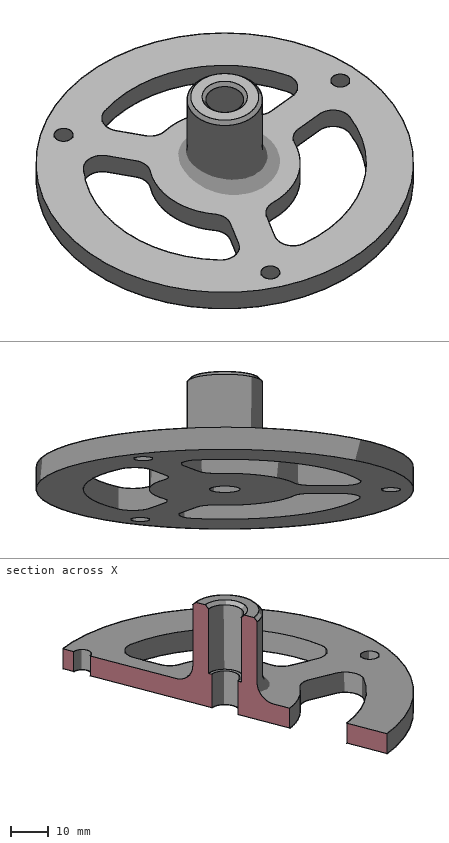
import cadquery as cq

disc_diameter = 100.0
disc_thickness = 6.0

total_height = 30.0
post_diameter = 20.0
post_chamfer = 1.0
root_fillet = 5.0

bore_diameter = 8.0
counterbore_diameter = 10.0
counterbore_depth = 20.0
bore_chamfer = 1.0

spoke_count = 3
spoke_angle = 360.0 / spoke_count
first_spoke_angle = 90.0
spoke_width = 10.0
window_inner_radius = 20.0
window_outer_radius = 37.5
window_corner_radius = 5.0

rim_hole_diameter = 5.0
rim_hole_circle_radius = 44.0


def make_windows():
    """Ring cut by the spokes, with every window corner rounded."""
    ring = (
        cq.Workplane("XY")
        .circle(window_outer_radius)
        .circle(window_inner_radius)
        .extrude(disc_thickness)
    )
    for index in range(spoke_count):
        spoke = (
            cq.Workplane("XY")
            .rect(disc_diameter / 2, spoke_width)
            .extrude(disc_thickness)
            .translate((disc_diameter / 4, 0, 0))
            .rotate((0, 0, 0), (0, 0, 1), first_spoke_angle + index * spoke_angle)
        )
        ring = ring.cut(spoke)
    return ring.edges("|Z").fillet(window_corner_radius)


def make_rim_holes():
    return (
        cq.Workplane("XY")
        .polarArray(rim_hole_circle_radius, first_spoke_angle, 360, spoke_count)
        .circle(rim_hole_diameter / 2)
        .extrude(disc_thickness)
    )


def make_post():
    """Post with a concave flare at its root and a chamfered top rim."""
    radius = post_diameter / 2
    return (
        cq.Workplane("XZ")
        .lineTo(radius + root_fillet, 0)
        .lineTo(radius + root_fillet, disc_thickness)
        .radiusArc((radius, disc_thickness + root_fillet), root_fillet)
        .lineTo(radius, total_height - post_chamfer)
        .lineTo(radius - post_chamfer, total_height)
        .lineTo(0, total_height)
        .close()
        .revolve(360, (0, 0, 0), (0, 1, 0))
    )


def make_bore():
    """Through bore, wider near the top, opening in a chamfer."""
    bore_radius = bore_diameter / 2
    counterbore_radius = counterbore_diameter / 2
    step_height = total_height - counterbore_depth
    return (
        cq.Workplane("XZ")
        .lineTo(bore_radius, 0)
        .lineTo(bore_radius, step_height)
        .lineTo(counterbore_radius, step_height)
        .lineTo(counterbore_radius, total_height - bore_chamfer)
        .lineTo(counterbore_radius + bore_chamfer, total_height)
        .lineTo(0, total_height)
        .close()
        .revolve(360, (0, 0, 0), (0, 1, 0))
    )


disc = cq.Workplane("XY").circle(disc_diameter / 2).extrude(disc_thickness)
disc = disc.cut(make_windows()).cut(make_rim_holes())
result = disc.union(make_post()).cut(make_bore())